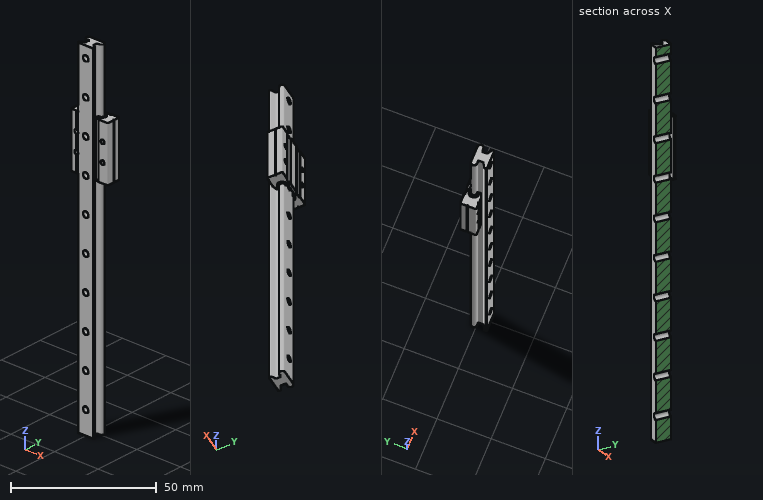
import cadquery as cq
import math


rail_length = 150.0
rail_bottom = -rail_length / 2
flange_half_width = 3.6
flange_height = 0.9
flange_slope_angle = 30.0
flange_chamfer = 0.2
flange_fillet = 0.3
web_half_width = 1.8
web_foot_fillet = 0.3
web_head_fillet = 0.2
head_half_width = 4.0
head_radius = 1.12
head_center_y = 5.0
head_center_x = head_half_width - head_radius
head_underside = head_center_y - head_radius

rail_hole_diameter = 2.4
rail_hole_count = 10
rail_hole_pitch = 15.0
first_hole_inset = 5.0

carriage_width = 17.0
carriage_length = 24.0
carriage_center_z = 35.2
carriage_bottom_z = carriage_center_z - carriage_length / 2
carriage_front = 2.0
carriage_back = 8.0
carriage_fillet = 0.38
lip_half_gap = 2.4
lip_tip_y = 2.5
lip_mouth_half_width = 4.0

relief_inner_x = 2.1
relief_outer_x = 4.6
relief_depth = 0.3

groove_width = 0.5
groove_depth = 0.3
side_groove_y = 5.2

carriage_hole_diameter = 1.6
carriage_hole_x = 6.0
carriage_hole_pitch = 8.0

liner_thickness = 0.8
liner_end_x = 2.4
channel_radius = head_radius + liner_thickness


def rounded_strip(radius, bottom_z, length):
    """Solid strip along Z with two round edges, centred on the rail's head."""
    return (
        cq.Workplane("XY", origin=(0, head_center_y, bottom_z))
        .slot2D(2 * (head_center_x + radius), 2 * radius)
        .extrude(length)
    )


def box_between(x_min, x_max, y_min, y_max, bottom_z, length):
    """Box given by its limits in X and Y, extruded along Z."""
    return (
        cq.Workplane("XY", origin=((x_min + x_max) / 2, (y_min + y_max) / 2, bottom_z))
        .rect(x_max - x_min, y_max - y_min)
        .extrude(length)
    )


def cross_hole(diameter, x, z):
    """Round cutter along Y that passes through everything."""
    return (
        cq.Workplane("XZ", origin=(x, 0, z))
        .circle(diameter / 2)
        .extrude(-carriage_back)
    )


def make_rail():
    """T-shaped rail with a bevelled flange, a narrow web and a round-edged head."""
    slope_rise = (flange_half_width - web_half_width) * math.tan(math.radians(flange_slope_angle))
    web_foot_y = flange_height + slope_rise
    right_side = [
        (flange_half_width - flange_chamfer, 0),
        (flange_half_width, flange_chamfer),
        (flange_half_width, flange_height),
        (web_half_width, web_foot_y),
        (web_half_width, head_center_y),
    ]
    left_side = [(-x, y) for x, y in reversed(right_side)]
    base = (
        cq.Workplane("XY", origin=(0, 0, rail_bottom))
        .polyline(right_side + left_side)
        .close()
        .extrude(rail_length)
    )
    for side in (-1, 1):
        flange_tip = (side * flange_half_width, flange_height, 0)
        base = base.edges(cq.selectors.NearestToPointSelector(flange_tip)).fillet(flange_fillet)
        web_foot = (side * web_half_width, web_foot_y, 0)
        base = base.edges(cq.selectors.NearestToPointSelector(web_foot)).fillet(web_foot_fillet)
    rail = base.union(rounded_strip(head_radius, rail_bottom, rail_length))
    for side in (-1, 1):
        web_top = (side * web_half_width, head_underside, 0)
        rail = rail.edges(cq.selectors.NearestToPointSelector(web_top)).fillet(web_head_fillet)
    for i in range(rail_hole_count):
        hole_z = rail_length / 2 - first_hole_inset - i * rail_hole_pitch
        rail = rail.cut(cross_hole(rail_hole_diameter, 0, hole_z))
    return rail


def groove_cutter(x, y, angle):
    """V-shaped cutter along Z at a point of the surface; angle is the direction it cuts into."""
    return (
        cq.Workplane("XY")
        .polyline([(0, -groove_width / 2), (groove_depth, 0), (0, groove_width / 2)])
        .close()
        .extrude(carriage_length)
        .rotate((0, 0, 0), (0, 0, 1), angle)
        .translate((x, y, carriage_bottom_z))
    )


def lip_opening():
    """Cutter that opens the channel to the front, flaring out below the lip tips."""
    right_side = [
        (lip_mouth_half_width, carriage_front),
        (lip_half_gap, lip_tip_y),
        (lip_half_gap, head_center_y),
    ]
    left_side = [(-x, y) for x, y in reversed(right_side)]
    return (
        cq.Workplane("XY", origin=(0, 0, carriage_bottom_z))
        .polyline(right_side + left_side)
        .close()
        .extrude(carriage_length)
    )


def make_carriage():
    """Carriage block that wraps around the rail's head and its liners."""
    half_width = carriage_width / 2
    carriage = box_between(
        -half_width, half_width, carriage_front, carriage_back, carriage_bottom_z, carriage_length
    )
    carriage = carriage.edges("|Z").fillet(carriage_fillet)
    carriage = carriage.cut(rounded_strip(channel_radius, carriage_bottom_z, carriage_length))
    carriage = carriage.cut(lip_opening())

    relief_floor = carriage_back - relief_depth
    for x_min, x_max in ((-relief_outer_x, -relief_inner_x), (relief_inner_x, relief_outer_x)):
        relief = box_between(
            x_min, x_max, relief_floor, carriage_back, carriage_bottom_z, carriage_length
        )
        carriage = carriage.cut(relief)

    carriage = carriage.cut(groove_cutter(-half_width, side_groove_y, 0))
    carriage = carriage.cut(groove_cutter(half_width, side_groove_y, 180))
    carriage = carriage.cut(groove_cutter(-carriage_hole_x, carriage_front, 90))

    for x in (-carriage_hole_x, carriage_hole_x):
        for z_offset in (-carriage_hole_pitch / 2, carriage_hole_pitch / 2):
            screw_hole = cross_hole(carriage_hole_diameter, x, carriage_center_z + z_offset)
            carriage = carriage.cut(screw_hole)
    return carriage


def make_liner(side):
    """C-shaped liner around one edge of the head; side is -1 for -X and 1 for +X."""
    shell = rounded_strip(channel_radius, carriage_bottom_z, carriage_length).cut(
        rounded_strip(head_radius, carriage_bottom_z, carriage_length)
    )
    x_min, x_max = sorted((side * liner_end_x, side * carriage_width / 2))
    keep = box_between(x_min, x_max, 0, carriage_back, carriage_bottom_z, carriage_length)
    return shell.intersect(keep)


rail = make_rail()
carriage = make_carriage()
liners = [make_liner(side) for side in (-1, 1)]

result = cq.Compound.makeCompound(
    [rail.val(), carriage.val(), *[liner.val() for liner in liners]]
)